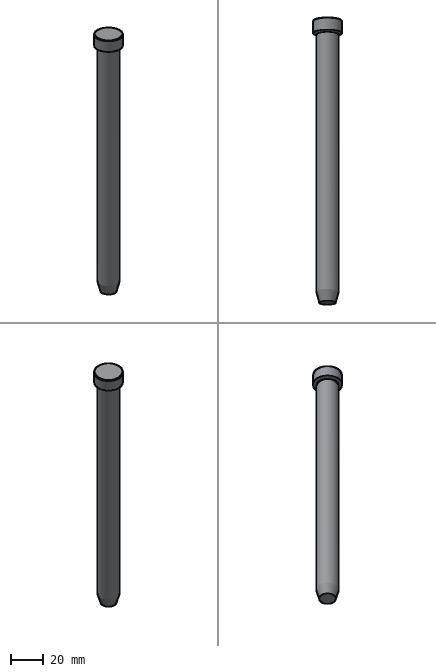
import cadquery as cq
import math

total_length = 180.0
head_diameter = 18.0
head_height = 8.0
head_edge_chamfer = 0.5

shank_diameter = 14.0

relief_width = 1.0
relief_depth = 0.5
relief_fillet = 0.5
relief_run_out = 0.2

tip_length = 7.0
tip_half_angle = 15.0

head_radius = head_diameter / 2
shank_radius = shank_diameter / 2
tip_radius = shank_radius - tip_length * math.tan(math.radians(tip_half_angle))

head_underside = total_length - head_height


def pin_body():
    """Head, shank and tapered tip turned about the Z axis, with the head's top edge broken."""
    half_profile = (
        cq.Workplane("XZ")
        .lineTo(tip_radius, 0)
        .lineTo(shank_radius, tip_length)
        .lineTo(shank_radius, head_underside)
        .lineTo(head_radius, head_underside)
        .lineTo(head_radius, total_length)
        .lineTo(0, total_length)
        .close()
    )
    body = half_profile.revolve(360, (0, 0, 0), (0, 1, 0))
    return body.faces(">Z").edges().chamfer(head_edge_chamfer)


def relief_groove():
    """Ring cut below the head: sloped at the bottom, rounded into the head's underside."""
    groove_bottom = head_underside - relief_width
    floor_radius = shank_radius - relief_depth
    half_profile = (
        cq.Workplane("XZ")
        .moveTo(shank_radius, groove_bottom)
        .lineTo(floor_radius, groove_bottom + relief_run_out)
        .lineTo(floor_radius, head_underside - relief_fillet)
        .radiusArc((floor_radius + relief_fillet, head_underside), relief_fillet)
        .close()
    )
    return half_profile.revolve(360, (0, 0, 0), (0, 1, 0))


result = pin_body().cut(relief_groove())